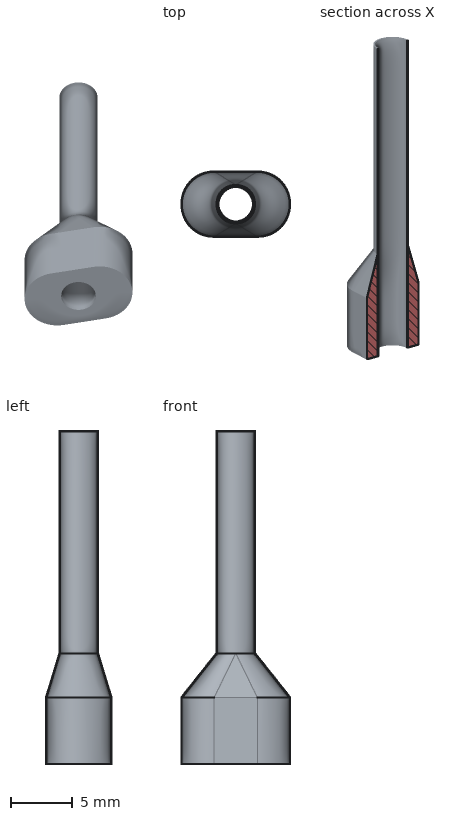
import cadquery as cq

total_height = 27.0
collar_length = 8.8
collar_width = 5.3
skirt_height = 5.4
collar_height = 9.0

tube_diameter = 3.1
tube_bore = 2.8

end_offset = (collar_length - collar_width) / 2


def make_tube():
    """Straight thin-walled tube running the full height of the part."""
    return cq.Workplane("XY").circle(tube_diameter / 2).circle(tube_bore / 2).extrude(total_height)


def make_skirt():
    """Straight lower part of the collar, with two rounded ends."""
    return cq.Workplane("XY").slot2D(collar_length, collar_width).extrude(skirt_height)


def half_circle_wire(radius, centre_x, side, z):
    """Closed half disc outline bulging toward +X (side = 1) or -X (side = -1)."""
    return (
        cq.Workplane("XY", origin=(centre_x, 0, z))
        .moveTo(0, -radius)
        .threePointArc((side * radius, 0), (0, radius))
        .close()
        .val()
    )


def make_rounded_end(side):
    """Slanted half cone joining one rounded skirt end to half of the tube."""
    lower = half_circle_wire(collar_width / 2, side * end_offset, side, skirt_height)
    upper = half_circle_wire(tube_diameter / 2, 0, side, collar_height)
    return cq.Workplane(cq.Solid.makeLoft([lower, upper], True))


def make_middle_wedge():
    """Wedge between the half cones, narrowing to a line across the tube."""
    low_y = collar_width / 2
    high_y = tube_diameter / 2
    left_front = cq.Vector(-end_offset, -low_y, skirt_height)
    right_front = cq.Vector(end_offset, -low_y, skirt_height)
    right_back = cq.Vector(end_offset, low_y, skirt_height)
    left_back = cq.Vector(-end_offset, low_y, skirt_height)
    top_front = cq.Vector(0, -high_y, collar_height)
    top_back = cq.Vector(0, high_y, collar_height)
    outlines = [
        [left_front, right_front, right_back, left_back],
        [left_front, right_front, top_front],
        [left_back, right_back, top_back],
        [left_front, left_back, top_back, top_front],
        [right_front, right_back, top_back, top_front],
    ]
    faces = [cq.Face.makeFromWires(cq.Wire.makePolygon(points, close=True)) for points in outlines]
    return cq.Workplane(cq.Solid.makeSolid(cq.Shell.makeShell(faces)))


def make_collar():
    """Collar with a straight skirt, a tapered shoulder and a through hole for the tube."""
    collar = make_skirt().union(make_middle_wedge())
    for side in (-1, 1):
        collar = collar.union(make_rounded_end(side))
    tube_hole = cq.Workplane("XY").circle(tube_diameter / 2).extrude(collar_height)
    return collar.cut(tube_hole).solids()


tube = make_tube()
collar = make_collar()

result = cq.Compound.makeCompound([tube.val(), collar.val()])